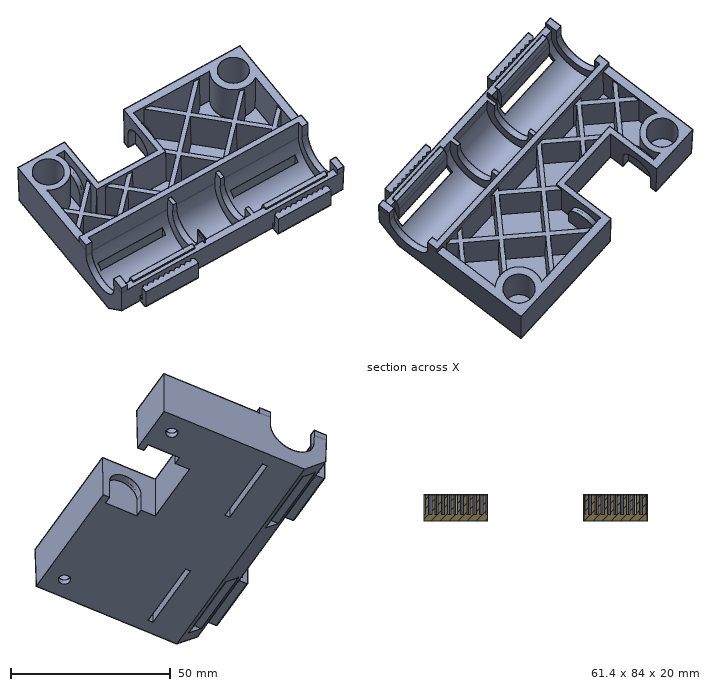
import math

import cadquery as cq

BLOCK_X = 58.2
BLOCK_Y = 84.0
BLOCK_Z = 17.5
TOP_Z = 20.0
DRAFT = 1.0
EDGE_CHAMFER = 7.4
CLEARANCE = 1.0

WALL = 2.8
NOTCH_WALL = 1.9
FLOOR_Z = 2.0
NOTCH_X = 18.9
NOTCH_Y0 = 17.7
NOTCH_Y1 = 40.0
RIB_TOP_Z = 16.5
RIB_WIDTH = 1.5
RIB_LENGTH = 200.0
RIB_ANGLE = 45.0
FALLING_RIB_SUMS = (32.2, 68.5, 89.3, 107.3)
RISING_RIB_DIFFERENCES = (-17.9, 22.3, 44.1)
SHORT_FALLING_RIB_SUM = 49.1
SHORT_RISING_RIB_DIFFERENCE = -0.7

BOSS_X = 6.7
BOSSES = ((7.0, 7.0), (77.0, 7.5))
COUNTERBORE_RADIUS = 5.0
SCREW_RADIUS = 1.9

ARCH_X = 8.2
ARCH_Z = 7.5
ARCH_RADIUS = 5.6
ARCH_SHELL_RADIUS = 6.0
ARCH_DEPTH = 2.7
ARCH_SHELL_DEPTH = 3.8

LONG_WALL_X = 34.3
TROUGH_X = 46.0
TROUGH_RADIUS = 9.8
TROUGH_FLOOR_Z = 2.0
TROUGH_AXIS_Z = TROUGH_FLOOR_Z + TROUGH_RADIUS
END_WALL = 2.3
SADDLE_Z = 6.6
END_SADDLE_RADIUS = 7.8
RIB_SADDLE_RADIUS = 6.9
SADDLE_RIB_WIDTH = 1.3
SADDLE_RIB_DRAFT = 2.3
SADDLE_RIBS_Y = (33.0, 51.0)
RAISED_FIN_X1 = 56.8
RAISED_FIN_WIDTH = 0.3

STATIONS_Y = (17.0, 67.1)
WINDOW_LENGTH = 24.4
WINDOW_WIDTH_OFFSET = 6.4
WINDOW_REACH = 8.1
WINDOW_SLOPE_Z = 6.8
FINGER_LENGTH = 23.4
FINGER_BOTTOM_Z = 6.5
FINGER_FACE_X = 54.2
FINGER_TIP_X = 55.2
FINGER_BACK_X = 56.9
FINGER_TOP_Z = 18.2
FINGER_SLOPE_Z = 15.9
FINGER_SLOPE_X = 54.5
FINGER_BULGE_X = 54.27
FINGER_BULGE_Z = 14.7
FINGER_FACE_Z = 13.4

CLIP_LENGTH = 20.0
CLIP_X = 61.4
CLIP_LEG = 2.0
CLIP_Z0 = 7.9
CLIP_BASE_Z = 10.0
CLIP_Z1 = 16.2
CLIP_CHAMFER = 0.4
TEETH = 10
TOOTH_HEIGHT = 0.7


def box(x0, x1, y0, y1, z0, z1):
    return cq.Workplane("XY").box(x1 - x0, y1 - y0, z1 - z0, centered=False).translate((x0, y0, z0))


def prism_along_y(points, y0, y1):
    return cq.Workplane("XZ", origin=(0, y0, 0)).polyline(points).close().extrude(y0 - y1)


def u_channel(center_x, axis_z, radius, top_z, y0, y1):
    """A round-bottomed channel running along Y."""
    return (
        cq.Workplane("XZ", origin=(center_x, y0, 0))
        .moveTo(-radius, top_z)
        .lineTo(-radius, axis_z)
        .threePointArc((0, axis_z - radius), (radius, axis_z))
        .lineTo(radius, top_z)
        .close()
        .extrude(y0 - y1)
    )


def arch(radius, y0, y1):
    """An upright arch standing on the base plane."""
    return (
        cq.Workplane("XZ", origin=(ARCH_X, y0, 0))
        .moveTo(-radius, 0)
        .lineTo(-radius, ARCH_Z)
        .threePointArc((0, ARCH_Z + radius), (radius, ARCH_Z))
        .lineTo(radius, 0)
        .close()
        .extrude(y0 - y1)
    )


def outer_block():
    block = (
        cq.Workplane("XY", origin=(0, 0, BLOCK_Z))
        .rect(BLOCK_X, BLOCK_Y, centered=False)
        .extrude(-BLOCK_Z, taper=DRAFT)
    )
    raised = box(LONG_WALL_X, BLOCK_X, 0, BLOCK_Y, BLOCK_Z, TOP_Z)
    notch = box(-CLEARANCE, NOTCH_X, NOTCH_Y0, NOTCH_Y1, -CLEARANCE, TOP_Z)
    chamfer_x0 = BLOCK_X - BLOCK_Z * math.tan(math.radians(DRAFT)) - EDGE_CHAMFER
    chamfer_x1 = BLOCK_X + CLEARANCE
    chamfer = prism_along_y(
        [(chamfer_x0, 0), (chamfer_x1, 0), (chamfer_x1, chamfer_x1 - chamfer_x0)],
        -CLEARANCE,
        BLOCK_Y + CLEARANCE,
    )
    return block.union(raised).cut(notch).cut(chamfer)


def cavity():
    """The open space of the tray, before ribs and bosses are added."""
    inner_x = NOTCH_X + NOTCH_WALL
    points = [
        (WALL, WALL),
        (LONG_WALL_X, WALL),
        (LONG_WALL_X, BLOCK_Y - WALL),
        (WALL, BLOCK_Y - WALL),
        (WALL, NOTCH_Y1 + NOTCH_WALL),
        (inner_x, NOTCH_Y1 + NOTCH_WALL),
        (inner_x, NOTCH_Y0 - NOTCH_WALL),
        (WALL, NOTCH_Y0 - NOTCH_WALL),
    ]
    return (
        cq.Workplane("XY", origin=(0, 0, BLOCK_Z))
        .polyline(points)
        .close()
        .extrude(FLOOR_Z - BLOCK_Z, taper=DRAFT)
    )


def diagonal_rib(x, y, angle):
    return (
        cq.Workplane("XY", origin=(x, y, RIB_TOP_Z))
        .transformed(rotate=(0, 0, angle))
        .rect(RIB_LENGTH, RIB_WIDTH)
        .extrude(FLOOR_Z - RIB_TOP_Z, taper=-DRAFT)
    )


def falling_rib(total):
    return diagonal_rib(total / 2, total / 2, -RIB_ANGLE)


def rising_rib(difference):
    return diagonal_rib(-difference / 2, difference / 2, RIB_ANGLE)


def lattice():
    """The crossing stiffening ribs of the tray."""
    ribs = falling_rib(SHORT_FALLING_RIB_SUM).union(rising_rib(SHORT_RISING_RIB_DIFFERENCE))
    ribs = ribs.intersect(box(NOTCH_X, BLOCK_X, 0, BLOCK_Y, 0, TOP_Z))
    for total in FALLING_RIB_SUMS:
        ribs = ribs.union(falling_rib(total))
    for difference in RISING_RIB_DIFFERENCES:
        ribs = ribs.union(rising_rib(difference))
    return ribs


def tray_fill():
    """Ribs, boss cylinders and arch shells standing in the tray."""
    fill = lattice()
    for y, radius in BOSSES:
        fill = fill.union(cq.Workplane("XY").center(BOSS_X, y).circle(radius).extrude(BLOCK_Z))
    fill = fill.union(arch(ARCH_SHELL_RADIUS, NOTCH_Y1, NOTCH_Y1 + ARCH_SHELL_DEPTH))
    return fill.union(arch(ARCH_SHELL_RADIUS, NOTCH_Y0 - ARCH_SHELL_DEPTH, NOTCH_Y0))


def screw_hole(y):
    hole = cq.Workplane("XY").center(BOSS_X, y).circle(SCREW_RADIUS).extrude(BLOCK_Z)
    bore = cq.Workplane("XY", origin=(BOSS_X, y, FLOOR_Z)).circle(COUNTERBORE_RADIUS).extrude(BLOCK_Z)
    return hole.union(bore)


def saddle(radius, y0, y1):
    return u_channel(TROUGH_X, SADDLE_Z + radius, radius, TOP_Z + CLEARANCE, y0, y1)


def saddle_rib(y):
    """A cross wall filling the trough, thicker towards its foot."""
    top_half = SADDLE_RIB_WIDTH / 2
    foot_half = top_half + BLOCK_Z * math.tan(math.radians(SADDLE_RIB_DRAFT))
    return (
        cq.Workplane("YZ")
        .polyline([(y - foot_half, 0), (y + foot_half, 0), (y + top_half, BLOCK_Z), (y - top_half, BLOCK_Z)])
        .close()
        .extrude(BLOCK_X)
    )


def trough():
    """The space of the trough, with the saddle ribs left standing in it."""
    space = u_channel(TROUGH_X, TROUGH_AXIS_Z, TROUGH_RADIUS, TOP_Z + CLEARANCE, END_WALL, BLOCK_Y - END_WALL)
    for y in SADDLE_RIBS_Y:
        space = space.cut(saddle_rib(y))
    space = space.union(saddle(RIB_SADDLE_RADIUS, END_WALL, BLOCK_Y - END_WALL))
    space = space.union(saddle(END_SADDLE_RADIUS, -CLEARANCE, END_WALL))
    space = space.union(saddle(END_SADDLE_RADIUS, BLOCK_Y - END_WALL, BLOCK_Y + CLEARANCE))
    lowered = box(TROUGH_X, BLOCK_X + CLEARANCE, END_WALL, BLOCK_Y - END_WALL, BLOCK_Z, TOP_Z + CLEARANCE)
    return space.union(lowered)


def raised_fin():
    """A thin upright sliver on the first saddle rib."""
    y = SADDLE_RIBS_Y[0] - SADDLE_RIB_WIDTH / 2
    return box(TROUGH_X + RIB_SADDLE_RADIUS, RAISED_FIN_X1, y, y + RAISED_FIN_WIDTH, RIB_TOP_Z, TOP_Z)


def windows(y):
    """The two floor windows of a snap station, one on each side of the trough."""
    y0 = y - WINDOW_LENGTH / 2
    y1 = y + WINDOW_LENGTH / 2
    wall_x = TROUGH_X - TROUGH_RADIUS
    left = prism_along_y(
        [
            (wall_x, TROUGH_AXIS_Z),
            (TROUGH_X - WINDOW_REACH, WINDOW_SLOPE_Z),
            (TROUGH_X - WINDOW_REACH, -CLEARANCE),
            (TROUGH_X - WINDOW_WIDTH_OFFSET, -CLEARANCE),
            (TROUGH_X - WINDOW_WIDTH_OFFSET, TROUGH_AXIS_Z),
        ],
        y0,
        y1,
    )
    right = box(TROUGH_X + WINDOW_WIDTH_OFFSET, FINGER_BACK_X, y0, y1, -CLEARANCE, FINGER_BOTTOM_Z)
    upper = box(TROUGH_X + WINDOW_WIDTH_OFFSET, FINGER_FACE_X, y0, y1, -CLEARANCE, BLOCK_Z)
    return left.union(right).union(upper)


def snap_finger(y):
    """The snap finger on the inner face of the trough wall, sloping to a rounded bulge."""
    return (
        cq.Workplane("XZ", origin=(0, y + FINGER_LENGTH / 2, 0))
        .moveTo(FINGER_BACK_X, FINGER_BOTTOM_Z)
        .lineTo(FINGER_BACK_X, FINGER_TOP_Z)
        .lineTo(FINGER_TIP_X, FINGER_TOP_Z)
        .lineTo(FINGER_SLOPE_X, FINGER_SLOPE_Z)
        .threePointArc((FINGER_BULGE_X, FINGER_BULGE_Z), (FINGER_FACE_X, FINGER_FACE_Z))
        .lineTo(FINGER_FACE_X, FINGER_BOTTOM_Z)
        .close()
        .extrude(FINGER_LENGTH)
    )


def clip(y):
    """An L-shaped hook outside the trough wall, with vertical teeth facing the wall."""
    leg_x = CLIP_X - CLIP_LEG
    y0 = y - CLIP_LENGTH / 2
    y1 = y + CLIP_LENGTH / 2
    hook = prism_along_y(
        [
            (FINGER_BACK_X, CLIP_Z0),
            (CLIP_X - CLIP_CHAMFER, CLIP_Z0),
            (CLIP_X, CLIP_Z0 + CLIP_CHAMFER),
            (CLIP_X, CLIP_Z1),
            (leg_x, CLIP_Z1),
            (leg_x, CLIP_BASE_Z),
            (FINGER_BACK_X, CLIP_BASE_Z),
        ],
        y0,
        y1,
    )
    pitch = CLIP_LENGTH / TEETH
    points = [(leg_x + CLIP_LEG / 2, y0)]
    for tooth in range(TEETH):
        points.append((leg_x, y0 + tooth * pitch))
        points.append((leg_x - TOOTH_HEIGHT, y0 + (tooth + 0.5) * pitch))
    points.append((leg_x, y1))
    points.append((leg_x + CLIP_LEG / 2, y1))
    teeth = cq.Workplane("XY", origin=(0, 0, CLIP_Z0)).polyline(points).close().extrude(CLIP_Z1 - CLIP_Z0)
    return hook.union(teeth)


tray_space = cavity()
result = outer_block().cut(tray_space).union(tray_fill().intersect(tray_space))
result = result.cut(arch(ARCH_RADIUS, NOTCH_Y1 - CLEARANCE, NOTCH_Y1 + ARCH_DEPTH))
result = result.cut(arch(ARCH_RADIUS, NOTCH_Y0 - ARCH_DEPTH, NOTCH_Y0 + CLEARANCE))
result = result.cut(trough()).union(raised_fin())
for boss_y, _ in BOSSES:
    result = result.cut(screw_hole(boss_y))
for station_y in STATIONS_Y:
    result = result.cut(windows(station_y)).union(snap_finger(station_y)).union(clip(station_y))